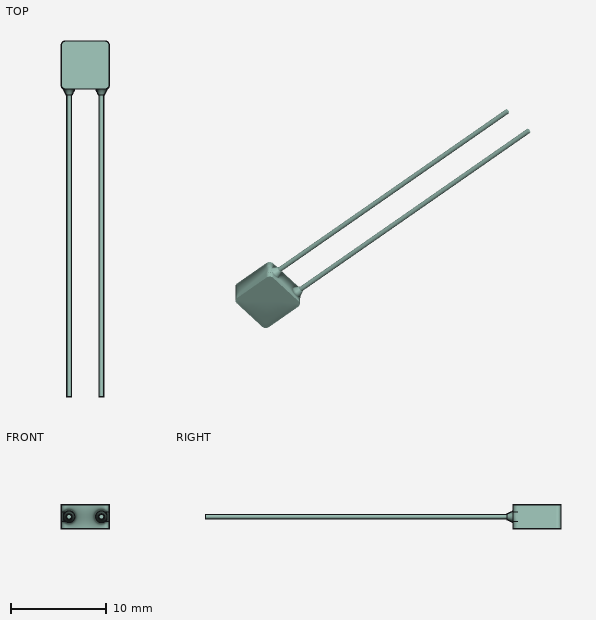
import cadquery as cq
import math

body_width = 5.08
body_depth = 5.08
body_height = 2.55
corner_radius = 0.5

collar_length = 0.6
collar_base_radius = 0.61
collar_tip_radius = 0.32

overall_length = 37.43
lead_diameter = 0.51
lead_pitch = 3.4
lead_length = overall_length - body_depth - collar_length

front_y = -body_depth / 2
collar_tip_y = front_y - collar_length
lead_sides = (-1, 1)

round_center_x = body_width / 2 - corner_radius
base_overhang = lead_pitch / 2 + collar_base_radius - round_center_x
tangent_offset = round_center_x - lead_pitch / 2
bulge_half_height = math.sqrt(collar_base_radius**2 - tangent_offset**2)
bulge = corner_radius - math.sqrt(corner_radius**2 - base_overhang**2)
bulge_radius = (bulge_half_height**2 + bulge**2) / (2 * bulge)
bulge_center_y = front_y + corner_radius - bulge + bulge_radius


def make_block():
    return cq.Workplane("XY").box(body_width, body_depth, body_height)


def make_collar(side):
    x = side * lead_pitch / 2
    return (
        cq.Workplane("XY")
        .moveTo(x, front_y)
        .lineTo(x + collar_base_radius, front_y)
        .lineTo(x + collar_tip_radius, collar_tip_y)
        .lineTo(x, collar_tip_y)
        .close()
        .revolve(360, (x, front_y, 0), (x, collar_tip_y, 0))
    )


def make_corner_bulge(side):
    x = side * round_center_x
    ring = cq.Solid.makeTorus(
        bulge_radius, corner_radius, cq.Vector(x, bulge_center_y, 0), cq.Vector(1, 0, 0)
    )
    corner = cq.Workplane("XY").box(corner_radius, corner_radius, 2 * bulge_half_height).translate(
        (side * (body_width - corner_radius) / 2, front_y + corner_radius / 2, 0)
    )
    return corner.intersect(cq.Workplane(ring))


def make_housing():
    housing = make_block().edges("|Z").fillet(corner_radius)
    for side in lead_sides:
        housing = housing.union(make_corner_bulge(side))
        housing = housing.union(make_collar(side))
    return housing


def make_lead(side):
    start = cq.Workplane("XZ", origin=(side * lead_pitch / 2, collar_tip_y, 0))
    return start.circle(lead_diameter / 2).extrude(lead_length)


housing = make_housing()
leads = [make_lead(side) for side in lead_sides]
result = cq.Compound.makeCompound([housing.val(), *[lead.val() for lead in leads]])